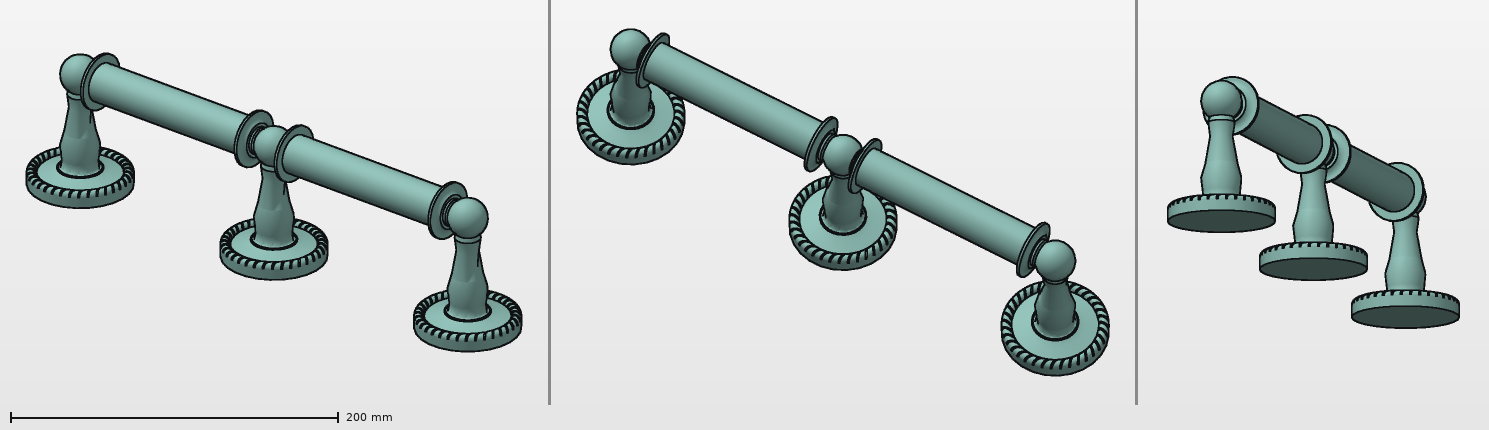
import cadquery as cq
import math

OVERALL_LENGTH = 369.5
BASE_RADIUS = 33.0
POST_SPACING = OVERALL_LENGTH / 2 - BASE_RADIUS
POST_POSITIONS = [-POST_SPACING, 0.0, POST_SPACING]
BAR_HEIGHT = 75.0

BASE_EDGE_HEIGHT = 7.5
ROPE_RADIUS = 3.15
ROPE_RING_RADIUS = BASE_RADIUS - ROPE_RADIUS
SEAT_RADIUS = 14.5
SEAT_HEIGHT = 11.0
DISH_SAG = 0.7

ROPE_STRANDS = 36
GROOVE_RADIUS = 0.5
GROOVE_ARC_RADIUS = 3.5
GROOVE_SLANT = math.radians(-30)
GROOVE_SWEEP = 170.0

FOOT_RADIUS = 13.5
FOOT_EDGE_HEIGHT = 0.7
BULB_BOTTOM_RADIUS = 11.5
BULB_BOTTOM_HEIGHT = 18.0
BULB_RADIUS = 12.5
BULB_HEIGHT = 26.5
BULB_TOP_RADIUS = 10.0
BULB_TOP_HEIGHT = 36.0
WAIST_RADIUS = 7.0
WAIST_HEIGHT = 51.7
COLLAR_RADIUS = 8.0
COLLAR_HEIGHT = 61.7
COLLAR_TIP_RADIUS = 7.5
COLLAR_TIP_HEIGHT = 64.5

BALL_RADIUS = 12.5
NECK_RADIUS = 9.0
NECK_START = 10.7
NECK_TIP_RADIUS = 8.0
NECK_TIP_START = 9.0
FLARE_START = 12.5
FLARE_SMALL_RADIUS = 11.0
FLARE_MIDDLE = 14.5
FLARE_MIDDLE_RADIUS = 13.3
FLARE_LARGE_RADIUS = 17.0
FLANGE_RADIUS = 18.0
FLANGE_START = 14.8
FLANGE_END = 16.5
TUBE_RADIUS = 12.5


def rope_groove():
    """One groove cutter: a slanted arc over the rope rim at the +X side of the base."""
    across_rope = cq.Plane(
        origin=(ROPE_RING_RADIUS, 0, BASE_EDGE_HEIGHT),
        xDir=(math.cos(GROOVE_SLANT), math.sin(GROOVE_SLANT), 0),
        normal=(0, 0, 1),
    )
    section = cq.Workplane(across_rope).center(GROOVE_ARC_RADIUS, 0).circle(GROOVE_RADIUS)
    return section.revolve(GROOVE_SWEEP, (-GROOVE_ARC_RADIUS, 0), (-GROOVE_ARC_RADIUS, -1))


def make_base():
    """Base plate at the origin, with a flat seat for the column in its middle."""
    dish_middle = ((SEAT_RADIUS + ROPE_RING_RADIUS) / 2, (SEAT_HEIGHT + BASE_EDGE_HEIGHT) / 2 - DISH_SAG)
    base = (
        cq.Workplane("XZ")
        .lineTo(BASE_RADIUS, 0)
        .lineTo(BASE_RADIUS, BASE_EDGE_HEIGHT)
        .lineTo(ROPE_RING_RADIUS, BASE_EDGE_HEIGHT)
        .threePointArc(dish_middle, (SEAT_RADIUS, SEAT_HEIGHT))
        .lineTo(0, SEAT_HEIGHT)
        .close()
        .revolve(360, (0, 0), (0, 1))
    )
    rope = cq.Workplane(obj=cq.Solid.makeTorus(ROPE_RING_RADIUS, ROPE_RADIUS))
    base = base.union(rope.translate((0, 0, BASE_EDGE_HEIGHT)))
    groove = rope_groove().val()
    turn = 360 / ROPE_STRANDS
    axis_start = cq.Vector(0, 0, 0)
    axis_end = cq.Vector(0, 0, 1)
    grooves = [groove.rotate(axis_start, axis_end, i * turn) for i in range(ROPE_STRANDS)]
    return cq.Workplane(obj=base.val().cut(*grooves).Solids()[0])


def make_column():
    """Column standing on the base seat at the origin, with the ball on top."""
    bulb_bottom = (BULB_BOTTOM_RADIUS, BULB_BOTTOM_HEIGHT)
    column = (
        cq.Workplane("XZ")
        .moveTo(0, SEAT_HEIGHT)
        .lineTo(FOOT_RADIUS, SEAT_HEIGHT)
        .lineTo(FOOT_RADIUS, SEAT_HEIGHT + FOOT_EDGE_HEIGHT)
        .spline([bulb_bottom], tangents=[(-1, 0), (0, 1)], includeCurrent=True)
        .threePointArc((BULB_RADIUS, BULB_HEIGHT), (BULB_TOP_RADIUS, BULB_TOP_HEIGHT))
        .spline([(WAIST_RADIUS, WAIST_HEIGHT), (COLLAR_RADIUS, COLLAR_HEIGHT)], includeCurrent=True)
        .lineTo(COLLAR_TIP_RADIUS, COLLAR_TIP_HEIGHT)
        .lineTo(COLLAR_TIP_RADIUS, BAR_HEIGHT)
        .lineTo(0, BAR_HEIGHT)
        .close()
        .revolve(360, (0, 0), (0, 1))
    )
    ball = cq.Workplane(origin=(0, 0, BAR_HEIGHT)).sphere(BALL_RADIUS)
    return column.union(ball)


def make_tube():
    """Tube from the ball at the origin to the next ball, with a flared flange at each end."""
    middle = POST_SPACING / 2
    half = (
        cq.Workplane("XZ")
        .lineTo(0, NECK_TIP_RADIUS)
        .lineTo(NECK_TIP_START, NECK_TIP_RADIUS)
        .lineTo(NECK_START, NECK_RADIUS)
        .lineTo(FLARE_START, NECK_RADIUS)
        .lineTo(FLARE_START, FLARE_SMALL_RADIUS)
        .threePointArc((FLARE_MIDDLE, FLARE_MIDDLE_RADIUS), (FLANGE_START, FLARE_LARGE_RADIUS))
        .lineTo(FLANGE_START, FLANGE_RADIUS)
        .lineTo(FLANGE_END, FLANGE_RADIUS)
        .lineTo(FLANGE_END, TUBE_RADIUS)
        .lineTo(middle, TUBE_RADIUS)
        .lineTo(middle, 0)
        .close()
        .revolve(360, (0, 0), (1, 0))
    )
    other_half = half.mirror("YZ", (middle, 0, 0))
    return half.union(other_half).clean().translate((0, 0, BAR_HEIGHT))


def make_frame():
    """The three columns with their balls, joined by the two tubes."""
    column = make_column()
    tube = make_tube()
    frame = cq.Workplane()
    for x in POST_POSITIONS:
        frame = frame.add(column.translate((x, 0, 0)))
    for x in POST_POSITIONS[:-1]:
        frame = frame.add(tube.translate((x, 0, 0)))
    return frame.combine()


base = make_base()
bases = [base.translate((x, 0, 0)).val() for x in POST_POSITIONS]
frame = make_frame()
result = cq.Compound.makeCompound([*frame.solids().vals(), *bases])